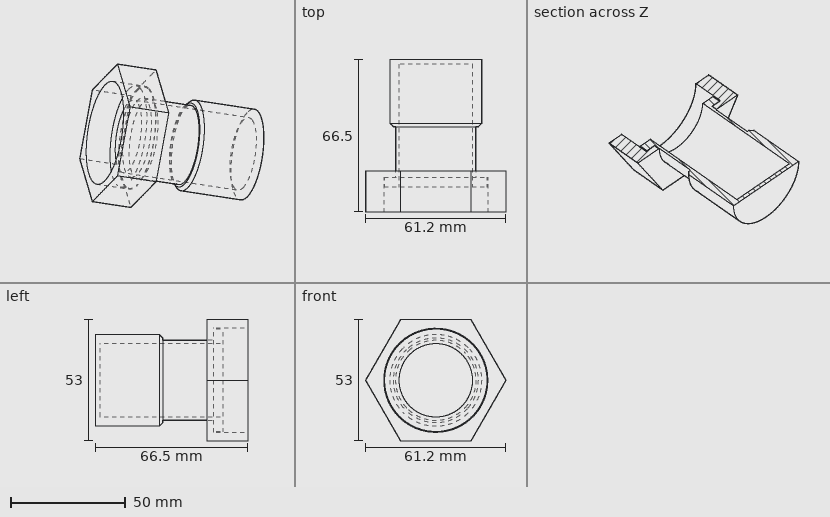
import cadquery as cq
import math

total_length = 66.5

nut_across_flats = 53.0
nut_length = 18.0
nut_bore_diameter = 45.35

flange_diameter = 44.6
flange_face_depth = 11.0
rear_wall_thickness = 3.0
neck_diameter = 35.0
body_diameter = 40.0
body_start = 37.2
body_chamfer = 1.5
sleeve_bore_diameter = 32.0
end_wall_thickness = 2.0

shoulder_position = nut_length - rear_wall_thickness


def cylinder(diameter, start, end):
    """Cylinder on the Y axis between two axial positions."""
    return (
        cq.Workplane("XZ", origin=(0, start, 0))
        .circle(diameter / 2)
        .extrude(start - end)
    )


def make_nut():
    """Hexagonal nut with a wide bore and a narrower hole in its rear wall."""
    across_corners = nut_across_flats / math.cos(math.pi / 6)
    hexagon = cq.Workplane("XZ").polygon(6, across_corners).extrude(-nut_length)
    wide_bore = cylinder(nut_bore_diameter, 0, shoulder_position)
    rear_hole = cylinder(neck_diameter, shoulder_position, nut_length)
    return hexagon.cut(wide_bore).cut(rear_hole)


def make_sleeve():
    """Flanged sleeve, with a blind bore, held behind the shoulder of the nut."""
    flange = cylinder(flange_diameter, flange_face_depth, shoulder_position)
    neck = cylinder(neck_diameter, shoulder_position, body_start)
    body = cylinder(body_diameter, body_start, total_length).faces("<Y").chamfer(body_chamfer)
    bore = cylinder(sleeve_bore_diameter, flange_face_depth, total_length - end_wall_thickness)
    return flange.union(neck).union(body).cut(bore)


nut = make_nut()
sleeve = make_sleeve()
result = cq.Compound.makeCompound([nut.val(), sleeve.val()])